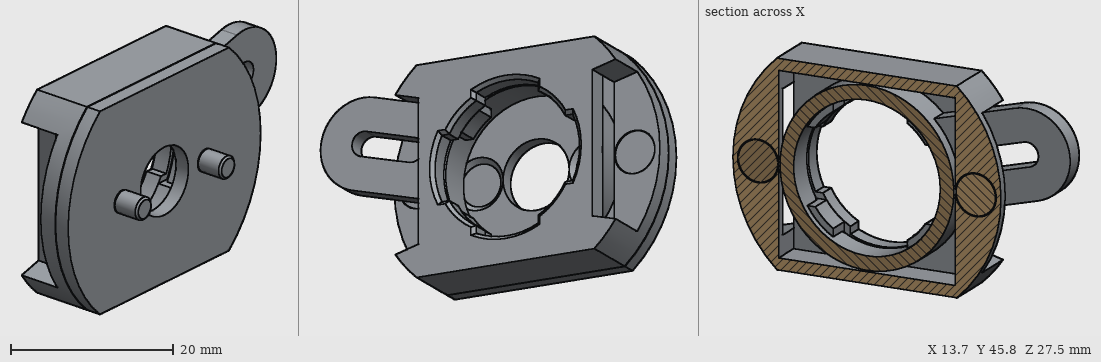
import cadquery as cq
import math

front_wall = 2.8
slot_floor_x = 5.7
housing_depth = 8.0
plate_gap = 0.1
plate_thickness = 2.0
plate_front_x = housing_depth + plate_gap
plate_back_x = plate_front_x + plate_thickness
screw_end_x = 13.65

outline_height = 27.5
outline_radius = 37.0 / 2

opening_radius = 10.05
opening_tab_radius = 9.15
opening_half_width = 4.3
opening_chamfer = 0.5

cavity_half_size = 12.1

slot_half_height = 9.45
swing_angle = 15.0

rotor_radius = 24.0 / 2
rotor_bore_radius = 10.05
rotor_chamfer = 0.5
lug_length = 3.1
lug_inner_radius = 9.15
lug_half_width = 5.1
lever_thickness = 2.5
lever_end_radius = 6.0
lever_length = 22.0
lever_slot_start = 15.0
lever_slot_width = 3.2

magnet_diameter = 5.5
magnet_hole_diameter = 5.6
magnet_offset = 15.0
magnet_recess = 0.1

centre_hole_diameter = 9.2
screw_offset = 8.0
screw_diameter = 3.0
screw_head_diameter = 5.5
screw_tip_chamfer = 0.27
countersink_diameter = 6.8

SIDES = (1, -1)


def yz_plane(x):
    """Sketch plane facing +X whose local axes are Y and Z."""
    return cq.Workplane("YZ", origin=(x, 0, 0))


def cylinder(radius, x_start, x_end, y=0):
    return yz_plane(x_start).center(y, 0).circle(radius).extrude(x_end - x_start)


def flat_sided_disc(x_start, x_end):
    disc = cylinder(outline_radius, x_start, x_end)
    band = yz_plane(x_start).rect(2 * outline_radius, outline_height).extrude(x_end - x_start)
    return disc.intersect(band)


def bayonet_cutter(outer_radius, tab_radius, half_width, x_start, x_end):
    """Round core of tab_radius plus a cross of notches that reach outer_radius."""
    depth = x_end - x_start
    cross = (
        yz_plane(x_start).rect(2 * half_width, 2 * outer_radius).extrude(depth)
        .union(yz_plane(x_start).rect(2 * outer_radius, 2 * half_width).extrude(depth))
    )
    notches = cross.intersect(cylinder(outer_radius, x_start, x_end))
    return cylinder(tab_radius, x_start, x_end).union(notches)


def side_slot_cutter(side):
    """Slot cut in from the front face, flaring outward by the swing angle of the lever."""
    flare = (outline_radius - cavity_half_size) * math.tan(math.radians(swing_angle))
    outer_half_height = slot_half_height + flare
    inner_y = side * cavity_half_size
    outer_y = side * outline_radius
    return (
        yz_plane(0)
        .polyline([
            (inner_y, -slot_half_height),
            (outer_y, -outer_half_height),
            (outer_y, outer_half_height),
            (inner_y, slot_half_height),
        ])
        .close()
        .extrude(slot_floor_x)
    )


def make_housing():
    opening = bayonet_cutter(
        opening_radius, opening_tab_radius, opening_half_width, 0, front_wall
    )
    housing = flat_sided_disc(0, housing_depth).cut(opening)
    reach = opening_radius + opening_chamfer
    opening_edges = cq.selectors.BoxSelector(
        (-opening_chamfer, -reach, -reach), (opening_chamfer, reach, reach)
    )
    housing = housing.faces("<X").edges(opening_edges).chamfer(opening_chamfer)
    cavity = (
        yz_plane(front_wall)
        .rect(2 * cavity_half_size, 2 * cavity_half_size)
        .extrude(housing_depth - front_wall)
    )
    housing = housing.cut(cavity)
    for side in SIDES:
        housing = housing.cut(side_slot_cutter(side))
        magnet_y = side * magnet_offset
        housing = housing.cut(
            cylinder(magnet_hole_diameter / 2, slot_floor_x, housing_depth, magnet_y)
        )
    return housing


def make_lever():
    arm = (
        yz_plane(front_wall)
        .center(lever_length / 2, 0)
        .rect(lever_length, 2 * lever_end_radius)
        .extrude(lever_thickness)
    )
    rounded_end = cylinder(lever_end_radius, front_wall, front_wall + lever_thickness, lever_length)
    slot_centre = (lever_slot_start + lever_length) / 2
    slot_length = lever_length - lever_slot_start + lever_slot_width
    slot = (
        yz_plane(front_wall)
        .center(slot_centre, 0)
        .slot2D(slot_length, lever_slot_width)
        .extrude(lever_thickness)
    )
    lever = arm.union(rounded_end).cut(slot)
    return lever.rotate((0, 0, 0), (1, 0, 0), swing_angle)


def make_lugs():
    """Four lugs on the rotor bore, left between the notches of a bayonet cross."""
    lug_end_x = front_wall + lug_length
    lug_ring = cylinder(rotor_radius, front_wall, lug_end_x)
    return lug_ring.cut(
        bayonet_cutter(rotor_radius, lug_inner_radius, lug_half_width, front_wall, lug_end_x)
    )


def make_rotor():
    bore_chamfer = (
        yz_plane(front_wall)
        .circle(rotor_bore_radius + rotor_chamfer)
        .workplane(offset=rotor_chamfer)
        .circle(rotor_bore_radius)
        .loft()
    )
    return (
        cylinder(rotor_radius, front_wall, housing_depth)
        .union(make_lever())
        .cut(cylinder(rotor_bore_radius, front_wall, housing_depth))
        .cut(bore_chamfer)
        .union(make_lugs())
    )


def make_magnet(side):
    magnet_front_x = slot_floor_x + magnet_recess
    return cylinder(magnet_diameter / 2, magnet_front_x, housing_depth, side * magnet_offset)


def make_screw(side):
    """Screw with a 90 degree countersunk head, seated below the front of the plate."""
    head_x = plate_front_x + (countersink_diameter - screw_head_diameter) / 2
    shank_x = head_x + (screw_head_diameter - screw_diameter) / 2
    tip_radius = screw_diameter / 2 - screw_tip_chamfer
    profile = [
        (head_x, 0),
        (head_x, screw_head_diameter / 2),
        (shank_x, screw_diameter / 2),
        (screw_end_x - screw_tip_chamfer, screw_diameter / 2),
        (screw_end_x, tip_radius),
        (screw_end_x, 0),
    ]
    screw = cq.Workplane("XY").polyline(profile).close().revolve(360, (0, 0), (1, 0))
    return screw.translate((0, side * screw_offset, 0))


def make_back_plate():
    plate = flat_sided_disc(plate_front_x, plate_back_x)
    plate = plate.cut(cylinder(centre_hole_diameter / 2, plate_front_x, plate_back_x))
    sink_depth = (countersink_diameter - screw_diameter) / 2
    profile = [
        (plate_front_x, 0),
        (plate_front_x, countersink_diameter / 2),
        (plate_front_x + sink_depth, screw_diameter / 2),
        (plate_back_x, screw_diameter / 2),
        (plate_back_x, 0),
    ]
    screw_hole = cq.Workplane("XY").polyline(profile).close().revolve(360, (0, 0), (1, 0))
    for side in SIDES:
        plate = plate.cut(screw_hole.translate((0, side * screw_offset, 0)))
    return plate


housing = make_housing()
rotor = make_rotor()
back_plate = make_back_plate()
magnets = [make_magnet(side).val() for side in SIDES]
screws = [make_screw(side).val() for side in SIDES]

result = cq.Compound.makeCompound(
    [housing.val(), rotor.val(), back_plate.val(), *magnets, *screws]
)